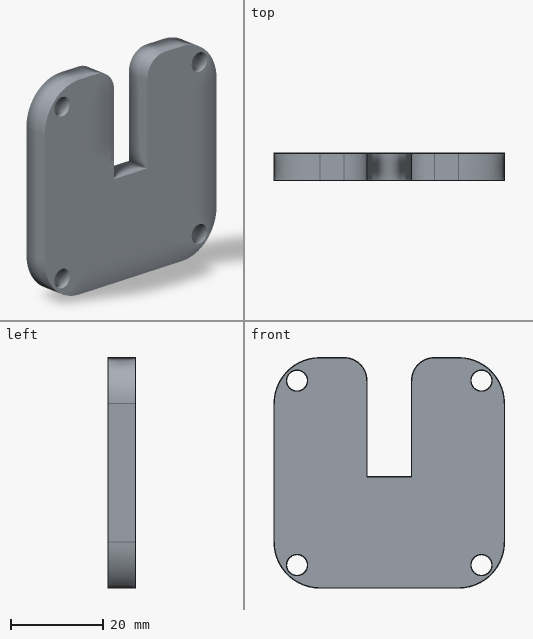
import cadquery as cq

side = 50.0
thickness = 6.0
corner_radius = 10.0

slot_width = 9.65
slot_depth = 25.8
mouth_radius = 5.0

hole_diameter = 4.5
hole_inset = 5.0

half_side = side / 2
half_slot = slot_width / 2
hole_spacing = side - 2 * hole_inset


def rounded_plate():
    """Square plate in the XZ plane, centred on the origin, with rounded corners."""
    return cq.Workplane("XY").box(side, thickness, side).edges("|Y").fillet(corner_radius)


def slot_cutter():
    """Straight slot whose mouth flares out to the top edge with two convex arcs."""
    top = half_side
    floor = top - slot_depth
    arc_start = top - mouth_radius
    mouth_half = half_slot + mouth_radius
    return (
        cq.Workplane("XZ")
        .moveTo(-half_slot, floor)
        .lineTo(half_slot, floor)
        .lineTo(half_slot, arc_start)
        .radiusArc((mouth_half, top), mouth_radius)
        .lineTo(-mouth_half, top)
        .radiusArc((-half_slot, arc_start), mouth_radius)
        .close()
        .extrude(thickness / 2, both=True)
    )


def hole_cutters():
    """Four through holes, one near each corner."""
    return (
        cq.Workplane("XZ")
        .rect(hole_spacing, hole_spacing, forConstruction=True)
        .vertices()
        .circle(hole_diameter / 2)
        .extrude(thickness / 2, both=True)
    )


result = rounded_plate().cut(slot_cutter()).cut(hole_cutters())